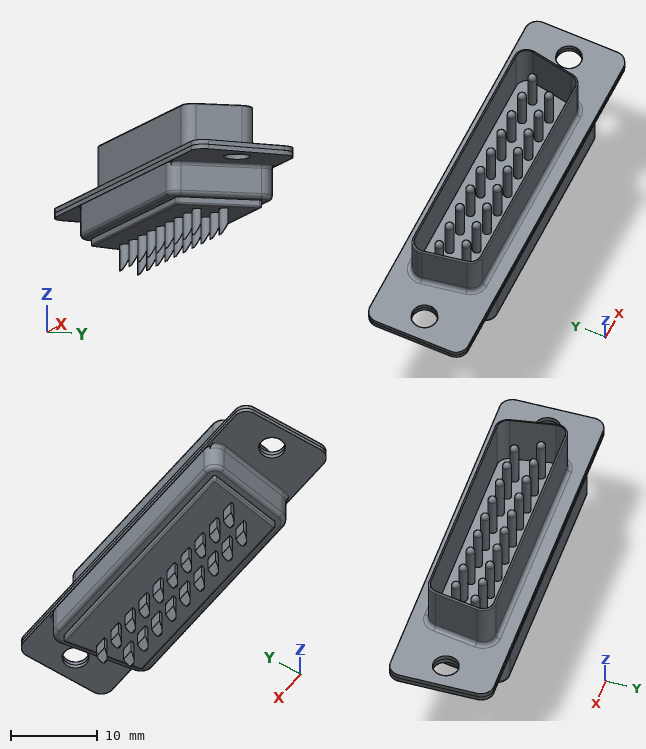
import cadquery as cq
import math


flange_length = 44.9
flange_width = 12.5
flange_thickness = 0.55
flange_corner_radius = 1.53
mounting_hole_diameter = 3.05
mounting_hole_spacing = 38.9

side_angle = 10.0
d_corner_radius = 1.53

hood_mid_width = 29.35
hood_depth = 8.35
hood_height = 5.95
hood_wall = 0.22
hood_base_fillet = 0.55
hood_rim_fillet = 0.15

cup_mid_width = 30.75
cup_depth = 12.4
cup_height = 3.9
cup_wall = flange_thickness
cup_bottom_fillet = 0.55
cup_flare_radius = 0.4
cup_flare_depth = 11.85

boss_mid_width = 28.25
boss_depth = 9.92
boss_height = 0.85
boss_corner_radius = 0.25
boss_edge_fillet = 0.22

contact_pitch = 2.8
row_spacing = 2.8
contact_rows = [(10, row_spacing / 2), (9, -row_spacing / 2)]
pin_diameter = 1.05
pin_tip_z = 5.55
tail_radius = 0.75
tail_length = 3.0
tail_bevel_height = 1.2
tail_bevel_reach = 0.67

flange_top = flange_thickness
flange_bottom = -flange_thickness
hood_top = flange_top + hood_height
cup_bottom = flange_bottom - cup_height
boss_bottom = cup_bottom - boss_height


def d_prism(mid_width, depth, corner_radius, bottom, top):
    """Prism between two levels with a rounded trapezoid outline, wider towards +Y."""
    half_depth = depth / 2
    lean = half_depth * math.tan(math.radians(side_angle))
    wide = mid_width / 2 + lean
    narrow = mid_width / 2 - lean
    corners = [(-narrow, -half_depth), (narrow, -half_depth), (wide, half_depth), (-wide, half_depth)]
    prism = cq.Workplane("XY").workplane(offset=bottom).polyline(corners).close().extrude(top - bottom)
    return prism.edges("|Z").fillet(corner_radius)


def inset_d_prism(mid_width, depth, corner_radius, wall, bottom, top):
    """D-shaped prism whose outline lies one wall thickness inside the given outline."""
    side_inset = wall / math.cos(math.radians(side_angle))
    return d_prism(mid_width - 2 * side_inset, depth - 2 * wall, corner_radius - wall, bottom, top)


def flange(bottom):
    """Rounded plate with a mounting hole near each end."""
    plate = cq.Workplane("XY").workplane(offset=bottom).rect(flange_length, flange_width)
    plate = plate.extrude(flange_thickness).edges("|Z").fillet(flange_corner_radius)
    holes = cq.Workplane("XY").workplane(offset=bottom)
    holes = holes.pushPoints([(-mounting_hole_spacing / 2, 0), (mounting_hole_spacing / 2, 0)])
    return plate.cut(holes.circle(mounting_hole_diameter / 2).extrude(flange_thickness))


def cup_cavity():
    """Inside of the rear shell, from its floor up to the flange joint."""
    floor = cup_bottom + cup_wall
    return inset_d_prism(cup_mid_width, cup_depth, d_corner_radius, cup_wall, floor, 0)


def boss():
    """Insulator block that passes through the rear shell's floor."""
    block = d_prism(boss_mid_width, boss_depth, boss_corner_radius, boss_bottom, cup_bottom + cup_wall)
    return block.faces("<Z").edges().fillet(boss_edge_fillet)


def base_outline(mid_width, depth, level):
    """Selector for the edges at the given level whose middles lie on or inside a D outline."""
    margin = 0.05
    half_width = mid_width / 2 + depth / 2 * math.tan(math.radians(side_angle)) + margin
    half_depth = depth / 2 + margin
    return cq.selectors.BoxSelector(
        (-half_width, -half_depth, level - margin),
        (half_width, half_depth, level + margin),
    )


def build_front_shell():
    """Flange with the thin hood that surrounds the pins."""
    shell = flange(0).union(d_prism(hood_mid_width, hood_depth, d_corner_radius, 0, hood_top))
    shell = shell.edges(base_outline(hood_mid_width, hood_depth, flange_top)).fillet(hood_base_fillet)
    shell = shell.faces(">Z").edges().fillet(hood_rim_fillet)
    return shell.cut(inset_d_prism(hood_mid_width, hood_depth, d_corner_radius, hood_wall, 0, hood_top))


def cup_flare():
    """Concave flare where the ends of the cup meet the flange, trimmed short of the long sides."""
    plate = cq.Workplane("XY").workplane(offset=flange_bottom)
    plate = plate.rect(flange_length, 2 * flange_width).extrude(flange_thickness)
    flared = plate.union(d_prism(cup_mid_width, cup_depth, d_corner_radius, cup_bottom, 0))
    flared = flared.edges(base_outline(cup_mid_width, cup_depth, flange_bottom)).fillet(cup_flare_radius)
    trim = cq.Workplane("XY").workplane(offset=flange_bottom)
    trim = trim.rect(flange_length, cup_flare_depth).extrude(-cup_flare_radius)
    return flared.intersect(trim)


def build_rear_shell():
    """Flange with a cup below it; the cup's floor is open for the insulator's boss."""
    cup = d_prism(cup_mid_width, cup_depth, d_corner_radius, cup_bottom, 0)
    cup = cup.faces("<Z").edges().fillet(cup_bottom_fillet)
    shell = flange(flange_bottom).union(cup).union(cup_flare())
    return shell.cut(cup_cavity()).cut(boss())


def pin(x, y):
    """Round pin with a hemispherical tip, standing on the insulator."""
    shaft_top = pin_tip_z - pin_diameter / 2
    shaft = cq.Workplane("XY").center(x, y).circle(pin_diameter / 2).extrude(shaft_top)
    tip = cq.Workplane("XY").sphere(pin_diameter / 2).translate((x, y, shaft_top))
    return shaft.union(tip)


def solder_tail(x, y):
    """Half-round tail, flat towards +Y, whose free end is bevelled from the flat side."""
    tail_bottom = boss_bottom - tail_length
    tail = (
        cq.Workplane("XY")
        .workplane(offset=tail_bottom)
        .moveTo(-tail_radius, 0)
        .threePointArc((0, -tail_radius), (tail_radius, 0))
        .close()
        .extrude(tail_length + boss_height)
    )
    bevel = (
        cq.Workplane("YZ")
        .polyline([(0, tail_bottom), (-tail_bevel_reach, tail_bottom), (0, tail_bottom + tail_bevel_height)])
        .close()
        .extrude(tail_radius, both=True)
    )
    return tail.cut(bevel).translate((x, y, 0))


def build_insulator():
    """Insulator filling the rear shell up to the flange joint, in one piece with its two rows of contacts."""
    body = cup_cavity().union(boss())
    for count, y in contact_rows:
        for index in range(count):
            x = (index - (count - 1) / 2) * contact_pitch
            body = body.union(pin(x, y)).union(solder_tail(x, y))
    return body


front_shell = build_front_shell()
rear_shell = build_rear_shell()
insulator = build_insulator()

result = cq.Compound.makeCompound(
    [front_shell.solids().val(), rear_shell.solids().val(), insulator.solids().val()]
)